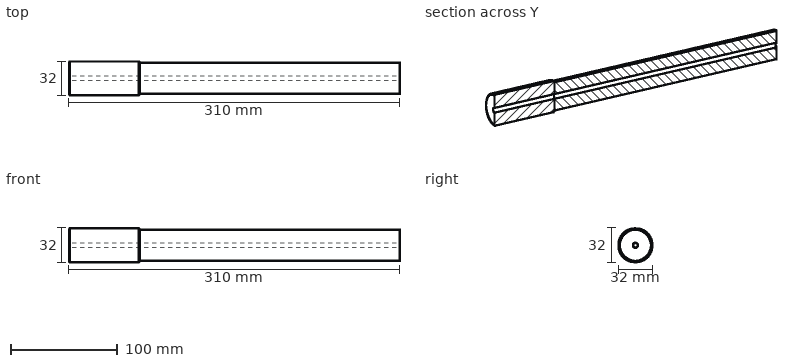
import cadquery as cq

total_length = 310.0
head_length = 66.5
head_diameter = 32.0
tube_diameter = 29.0
bore_diameter = 4.3
front_chamfer = 1.0

rear_chamfer = (head_diameter - tube_diameter) / 2
tube_length = total_length - head_length


def bored_cylinder(start_x, length, diameter):
    """Cylinder along +X from start_x with the central bore through it."""
    return (
        cq.Workplane("YZ", origin=(start_x, 0, 0))
        .circle(diameter / 2)
        .circle(bore_diameter / 2)
        .extrude(length)
    )


def chamfer_outer_rim(body, end_face, size):
    """Chamfer the largest circular edge of the chosen end face."""
    outer_rim = body.faces(end_face).edges(cq.selectors.RadiusNthSelector(-1))
    return outer_rim.chamfer(size)


def make_head():
    """Larger cylinder with both outer rims chamfered."""
    head = bored_cylinder(0, head_length, head_diameter)
    head = chamfer_outer_rim(head, "<X", front_chamfer)
    return chamfer_outer_rim(head, ">X", rear_chamfer)


def make_tube():
    """Plain tube that butts against the end of the head."""
    return bored_cylinder(head_length, tube_length, tube_diameter)


head = make_head()
tube = make_tube()

result = cq.Compound.makeCompound([head.val(), tube.val()])